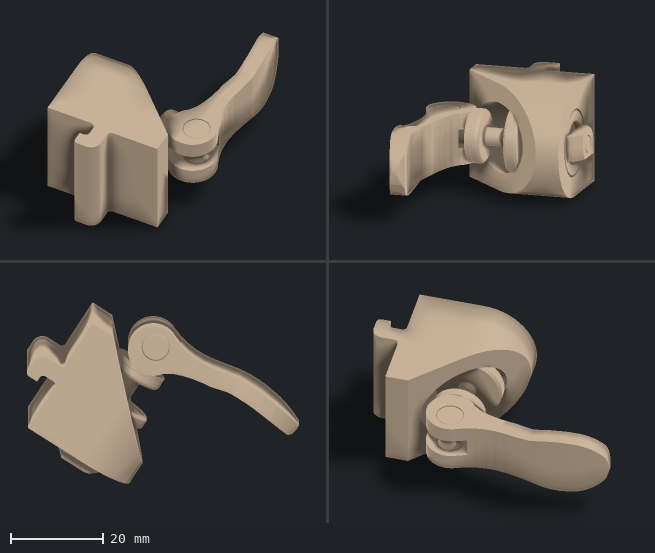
import cadquery as cq


BLOCK_HEIGHT = 24.0
BLOCK_LENGTH = 27.1
BLOCK_TOP_Y = BLOCK_HEIGHT / 2
BLOCK_TOP_LENGTH = 5.1
FRONT_Y_LEFT = -14.4
FRONT_Y_RIGHT = -15.05
SLOPE_END_Y = BLOCK_TOP_Y - (BLOCK_LENGTH - BLOCK_TOP_LENGTH)

HOOK_TIP_X = 9.7
HOOK_NECK_LEFT_X = 11.7
HOOK_NECK_RIGHT_X = 15.3
HOOK_LEDGE_Y = -18.2
HOOK_END_Y = -21.35
HOOK_FILLET = 1.0
HOOK_BIG_ROUND = 2.4

RING_DIAMETER = 15.0
RING_BORE = 8.9
RING_CHAMFER = 0.5
RING_THICKNESS = 3.0
FRONT_RING_X = 0.0
REAR_RING_DIAMETER = 15.4
REAR_RING_X = 11.1

ROD_DIAMETER = 4.0
ROD_CHAMFER = 0.4
ROD_END_X = 32.2

NUT_WIDTH = 5.8
NUT_LENGTH = 11.7
NUT_THICKNESS = 3.1
NUT_BEVEL_WIDTH = 2.1
NUT_BEVEL_DEPTH = 1.9
NUT_NECK_LENGTH = 1.0

COLLAR_DIAMETER = 12.0
COLLAR_X = 20.1
COLLAR_THICKNESS = 2.0
COLLAR_ROUND = 1.0
CRADLE_THICKNESS = 1.2
CRADLE_GAP_CHAMFER = 0.1

CAM_X = 28.05
CAM_DIAMETER = 11.0
CAM_OFFSET = 1.0
LEVER_HALF_HEIGHT = 5.8
LEVER_SLOT_HEIGHT = 4.3
LEVER_SLOT_END_Y = 4.6
PADDLE_HALF_HEIGHT = 7.2
LEVER_TIP_Y = 36.15

PIN_X = CAM_X + CAM_OFFSET
PIN_DIAMETER = 6.0
PIN_HOLE_DIAMETER = 6.1
PIN_CHAMFER = 0.25


def rod_cylinder(x, diameter, length):
    """Cylinder around the rod axis that starts at x and runs toward +X."""
    return cq.Workplane("YZ", origin=(x, 0, 0)).circle(diameter / 2).extrude(length)


def upright_cylinder(x, diameter, half_height):
    """Cylinder along Z, centred on z = 0, at the given x."""
    return cq.Workplane("XY", origin=(x, 0, 0)).circle(diameter / 2).extrude(half_height, both=True)


def make_block():
    outline = (
        cq.Workplane("XY")
        .moveTo(0, FRONT_Y_LEFT)
        .lineTo(HOOK_NECK_LEFT_X, FRONT_Y_LEFT)
        .lineTo(HOOK_NECK_LEFT_X, HOOK_LEDGE_Y)
        .lineTo(HOOK_TIP_X, HOOK_LEDGE_Y)
        .lineTo(HOOK_TIP_X, HOOK_END_Y)
        .lineTo(HOOK_NECK_RIGHT_X, HOOK_END_Y)
        .lineTo(HOOK_NECK_RIGHT_X, FRONT_Y_RIGHT)
        .lineTo(BLOCK_LENGTH, FRONT_Y_RIGHT)
        .lineTo(BLOCK_LENGTH, SLOPE_END_Y)
        .lineTo(BLOCK_TOP_LENGTH, BLOCK_TOP_Y)
        .lineTo(0, BLOCK_TOP_Y)
        .close()
    )
    block = outline.extrude(BLOCK_HEIGHT / 2, both=True)

    fillets = (
        (HOOK_NECK_LEFT_X, FRONT_Y_LEFT, HOOK_FILLET),
        (HOOK_NECK_LEFT_X, HOOK_LEDGE_Y, HOOK_FILLET),
        (HOOK_TIP_X, HOOK_END_Y, HOOK_FILLET),
        (HOOK_NECK_RIGHT_X, HOOK_END_Y, HOOK_BIG_ROUND),
        (HOOK_NECK_RIGHT_X, FRONT_Y_RIGHT, HOOK_FILLET),
    )
    for x, y, radius in fillets:
        block = block.edges(cq.selectors.NearestToPointSelector((x, y, 0))).fillet(radius)

    rounded_end = rod_cylinder(0, BLOCK_HEIGHT, BLOCK_LENGTH)
    straight_part = (
        cq.Workplane("XY", origin=(0, HOOK_END_Y, 0))
        .box(BLOCK_LENGTH, -HOOK_END_Y, BLOCK_HEIGHT, centered=(False, False, True))
    )
    block = block.intersect(rounded_end.union(straight_part))

    front_bore = rod_cylinder(0, RING_DIAMETER, RING_THICKNESS)
    main_bore = rod_cylinder(RING_THICKNESS, REAR_RING_DIAMETER, BLOCK_LENGTH)
    return block.cut(front_bore).cut(main_bore)


def make_ring(x, diameter, bore):
    ring = rod_cylinder(x, diameter, RING_THICKNESS).faces("<X or >X").edges().chamfer(RING_CHAMFER)
    return ring.cut(rod_cylinder(x, bore, RING_THICKNESS))


def make_front_ring():
    ring = make_ring(FRONT_RING_X, RING_DIAMETER, RING_BORE)
    bore_rim = ring.faces("<X").edges(cq.selectors.RadiusNthSelector(0))
    return bore_rim.chamfer(RING_CHAMFER)


def round_nut_corners(square_body, round_body, x, length):
    """Trim the (+Y, -Z) and (-Y, +Z) quarters of a square body to a round one between x and x + length."""
    quarter_size = NUT_LENGTH / 2
    for side in (-1, 1):
        quarter = (
            cq.Workplane("XY", origin=(x, side * quarter_size / 2, -side * quarter_size / 2))
            .box(length, quarter_size, quarter_size, centered=(False, True, True))
        )
        square_body = square_body.cut(quarter.cut(round_body))
    return square_body


def make_nut_head():
    """Oblong head with bevelled ends, rounded so that it can turn a quarter turn in its slot."""
    half_length = NUT_LENGTH / 2
    bevel_start = NUT_BEVEL_DEPTH - NUT_THICKNESS
    end_profile = [
        (0, half_length),
        (bevel_start, half_length),
        (-NUT_THICKNESS, half_length - NUT_BEVEL_WIDTH),
    ]
    mirrored_end = [(x, -y) for x, y in reversed(end_profile)]
    half_profile = [(0, 0)] + end_profile + [(-NUT_THICKNESS, 0)]

    square_head = cq.Workplane("XY").polyline(end_profile + mirrored_end).close()
    square_head = square_head.extrude(NUT_WIDTH / 2, both=True)
    round_head = cq.Workplane("XY").polyline(half_profile).close().revolve(360, (0, 0, 0), (1, 0, 0))
    return round_nut_corners(square_head, round_head, -NUT_THICKNESS, NUT_THICKNESS)


def make_nut():
    """Quarter-turn T-nut: head, short neck and a round guide that fits the front ring."""
    square_neck = cq.Workplane("YZ").rect(NUT_WIDTH, NUT_WIDTH).extrude(NUT_NECK_LENGTH)
    round_neck = rod_cylinder(0, NUT_WIDTH, NUT_NECK_LENGTH)
    neck = round_nut_corners(square_neck, round_neck, 0, NUT_NECK_LENGTH)

    guide = rod_cylinder(NUT_NECK_LENGTH, RING_BORE, RING_THICKNESS - NUT_NECK_LENGTH)
    rod_hole = rod_cylinder(-NUT_THICKNESS, ROD_DIAMETER, NUT_THICKNESS + RING_THICKNESS)
    return make_nut_head().union(neck).union(guide).cut(rod_hole)


def make_rod():
    rod = rod_cylinder(-NUT_THICKNESS, ROD_DIAMETER, NUT_THICKNESS + ROD_END_X)
    return rod.faces("<X or >X").chamfer(ROD_CHAMFER)


def make_collar():
    collar = rod_cylinder(COLLAR_X, COLLAR_DIAMETER, COLLAR_THICKNESS)
    collar = collar.faces("<X").edges().fillet(COLLAR_ROUND)
    collar = collar.faces(">X").edges().chamfer(CRADLE_GAP_CHAMFER)
    return collar.cut(rod_cylinder(COLLAR_X, ROD_DIAMETER, COLLAR_THICKNESS))


def make_cradle():
    """Washer whose +X face is hollowed to carry the cam of the lever."""
    x = COLLAR_X + COLLAR_THICKNESS
    cradle = rod_cylinder(x, COLLAR_DIAMETER, CRADLE_THICKNESS)
    cradle = cradle.faces("<X").edges().chamfer(CRADLE_GAP_CHAMFER)
    cradle = cradle.cut(upright_cylinder(CAM_X, CAM_DIAMETER, COLLAR_DIAMETER))
    return cradle.cut(rod_cylinder(x, ROD_DIAMETER, CRADLE_THICKNESS))


def make_lever():
    handle = (
        cq.Workplane("XY")
        .moveTo(CAM_X, 0)
        .lineTo(24.9, 4.5)
        .lineTo(26.1, 6.25)
        .threePointArc((27.2, 9.5), (28.05, 14.65))
        .lineTo(29.1, 18.35)
        .threePointArc((29.4, 23.0), (29.1, 27.25))
        .threePointArc((28.65, 30.75), (27.9, 34.7))
        .threePointArc((28.25, 35.4), (29.6, LEVER_TIP_Y))
        .lineTo(30.4, LEVER_TIP_Y)
        .threePointArc((30.8, 35.9), (31.05, 35.4))
        .threePointArc((32.85, 27.3), (32.95, 19.05))
        .lineTo(31.8, 12.95)
        .threePointArc((31.55, 8.35), (33.05, 2.25))
        .close()
        .extrude(PADDLE_HALF_HEIGHT, both=True)
    )
    half_outline = (
        cq.Workplane("YZ")
        .moveTo(0, 0)
        .lineTo(0, LEVER_HALF_HEIGHT)
        .lineTo(12.95, LEVER_HALF_HEIGHT)
        .threePointArc((16.4, 5.85), (19.05, 6.1))
        .lineTo(21.95, 6.85)
        .threePointArc((24.0, 7.1), (26.0, PADDLE_HALF_HEIGHT))
        .threePointArc((27.65, 7.1), (29.25, 6.9))
        .threePointArc((32.9, 5.4), (35.5, 3.0))
        .threePointArc((35.95, 1.6), (LEVER_TIP_Y, 0))
        .close()
        .extrude(CAM_X + CAM_DIAMETER)
    )
    outline = half_outline.union(half_outline.mirror("XY"))
    lever = handle.intersect(outline).union(upright_cylinder(CAM_X, CAM_DIAMETER, LEVER_HALF_HEIGHT))

    slot = (
        cq.Workplane("XY", origin=(CAM_X, LEVER_SLOT_END_Y - CAM_DIAMETER / 2, 0))
        .box(CAM_DIAMETER, CAM_DIAMETER, LEVER_SLOT_HEIGHT)
    )
    pin_hole = upright_cylinder(PIN_X, PIN_HOLE_DIAMETER, LEVER_HALF_HEIGHT)
    return lever.cut(slot).cut(pin_hole)


def make_pin():
    pin = upright_cylinder(PIN_X, PIN_DIAMETER, LEVER_HALF_HEIGHT)
    pin = pin.faces("<Z or >Z").chamfer(PIN_CHAMFER)
    return pin.cut(rod_cylinder(PIN_X - PIN_DIAMETER, ROD_DIAMETER, 2 * PIN_DIAMETER))


block = make_block()
front_ring = make_front_ring()
rear_ring = make_ring(REAR_RING_X, REAR_RING_DIAMETER, ROD_DIAMETER)
nut = make_nut()
rod = make_rod()
collar = make_collar()
cradle = make_cradle()
lever = make_lever()
pin = make_pin()

bodies = [block, front_ring, rear_ring, nut, rod, collar, cradle, lever, pin]
result = cq.Compound.makeCompound([body.val() for body in bodies])